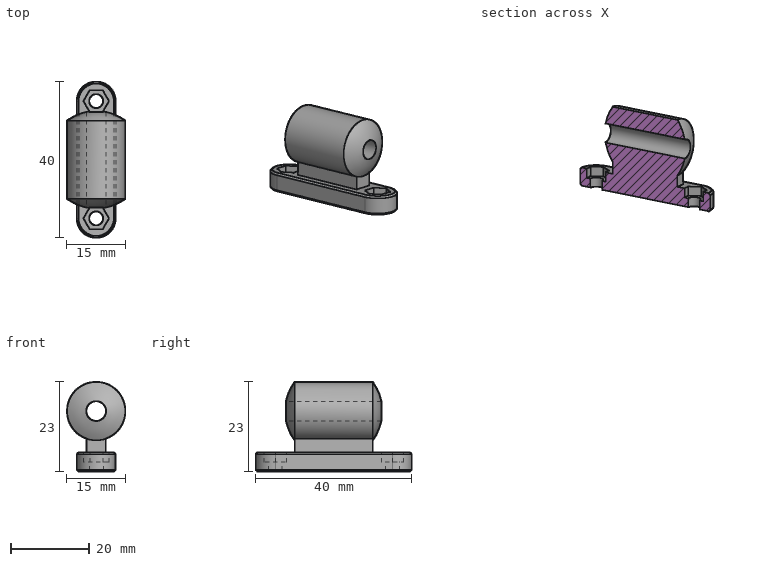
import cadquery as cq
import math

base_width = 10.0
base_length = 40.0
base_height = 5.0
base_chamfer = 0.5

hole_spacing = base_length - base_width
hole_diameter = 3.5
nut_corner_diameter = 6.55
nut_depth = 2.5

barrel_diameter = 15.0
barrel_length = 20.0
overall_height = 23.0
barrel_axis_z = overall_height - barrel_diameter / 2
bore_diameter = 5.0

dome_radius = math.hypot(barrel_diameter / 2, barrel_length / 2)

rib_width = 5.0
rib_length = barrel_length


def make_base():
    """Chamfered stadium plate."""
    plate = cq.Workplane("XY").slot2D(base_length, base_width, 90).extrude(base_height)
    return plate.faces("|Z").chamfer(base_chamfer)


def make_rib():
    """Upright block from the base top to the barrel axis."""
    rib = cq.Workplane("XY").workplane(offset=base_height).rect(rib_width, rib_length)
    return rib.extrude(barrel_axis_z - base_height)


def make_barrel():
    """Cylinder along Y whose ends are domed by the sphere."""
    barrel = (
        cq.Workplane("XZ")
        .circle(barrel_diameter / 2)
        .extrude(dome_radius, both=True)
        .intersect(cq.Workplane("XY").sphere(dome_radius))
    )
    return barrel.translate((0, 0, barrel_axis_z))


def make_bore():
    """Through bore along the barrel axis."""
    bore = cq.Workplane("XZ").circle(bore_diameter / 2).extrude(dome_radius, both=True)
    return bore.translate((0, 0, barrel_axis_z))


def make_screw_hole(y):
    """Through hole with a nut pocket open at the base top."""
    hole = cq.Workplane("XY").center(0, y).circle(hole_diameter / 2).extrude(base_height)
    pocket = (
        cq.Workplane("XY")
        .workplane(offset=base_height - nut_depth)
        .center(0, y)
        .polygon(6, nut_corner_diameter)
        .extrude(nut_depth)
    )
    return hole.union(pocket)


result = make_base().union(make_rib()).union(make_barrel()).cut(make_bore())
for hole_y in (-hole_spacing / 2, hole_spacing / 2):
    result = result.cut(make_screw_hole(hole_y))